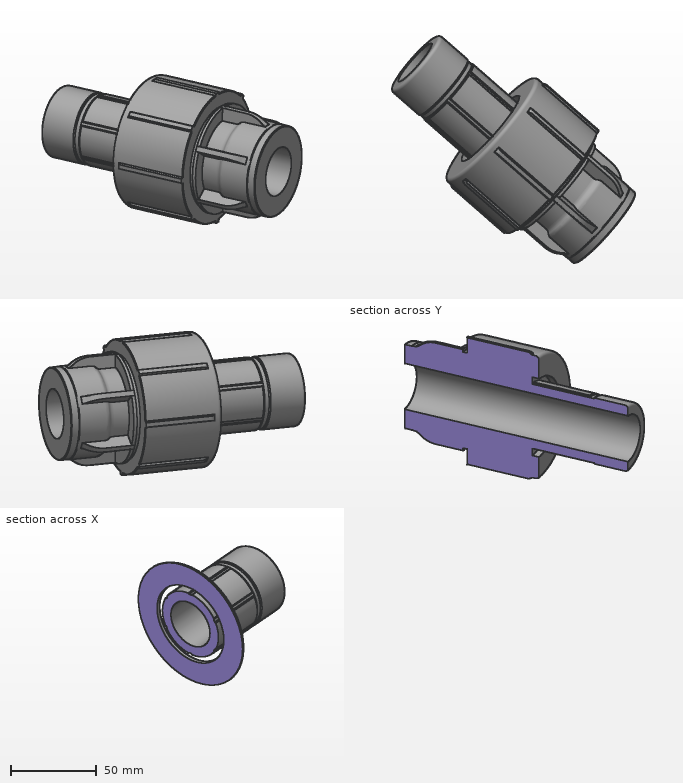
import cadquery as cq
import math

total_length = 148.0
bore_diameter = 29.3

spigot_diameter = 42.9
spigot_groove_diameter = 41.9
spigot_tip_fillet = 2.0
spigot_groove_start = 21.9
spigot_groove_end = 26.3
spigot_groove_slope = 0.9

channel_count = 6
channel_floor_width = 1.8
channel_mouth_width = 3.1

nut_start = 58.9
nut_end = 106.7
nut_diameter = 79.5
nut_front_fillet = 2.2
nut_rear_chamfer = 0.5
nut_opening_diameter = 50.3
nut_opening_depth = 4.5

grip_count = 8
grip_start = 62.9
grip_outer_radius = 41.0
grip_top_width = 2.7
grip_base_width = 3.8
grip_nose_radius = 3.5

shoulder_diameter = 62.3
flange_start = 109.2
flange_thickness = 2.0
flange_diameter = 65.5
neck_diameter = 50.3
socket_diameter = 54.8
socket_rim_diameter = 54.5
swell_start = 120.8
swell_length = 5.3
socket_step_start = 142.7
socket_step_length = 0.5
socket_rim_chamfer = 0.5

fin_count = 6
fin_top_width = 3.3
fin_base_width = 4.9
fin_curve_start = 127.3
fin_curve_end = 138.1
fin_curve_radius = 16.3
fin_tip = 140.3

root_overlap = 3.0


def cylinder(start, end, diameter):
    """Solid cylinder on the X axis."""
    return cq.Workplane("YZ").workplane(offset=start).circle(diameter / 2).extrude(end - start)


def ring_around(rib, count):
    """Copies of one rib evenly spaced about the X axis, the first pointing to +Z."""
    ring = rib
    for index in range(1, count):
        ring = ring.union(rib.rotate((0, 0, 0), (1, 0, 0), 360.0 * index / count))
    return ring


def tapered_bar(start, end, base_radius, top_radius, base_width, top_width):
    """Bar along X with a trapezoid section that narrows from base_radius to top_radius."""
    root_radius = base_radius - root_overlap
    section = [
        (-base_width / 2, root_radius),
        (base_width / 2, root_radius),
        (base_width / 2, base_radius),
        (top_width / 2, top_radius),
        (-top_width / 2, top_radius),
        (-base_width / 2, base_radius),
    ]
    return cq.Workplane("YZ").workplane(offset=start).polyline(section).close().extrude(end - start)


def make_spigot():
    outer = spigot_diameter / 2
    floor = spigot_groove_diameter / 2
    body = (
        cq.Workplane("XY")
        .moveTo(0, 0)
        .lineTo(0, outer)
        .lineTo(spigot_groove_start, outer)
        .lineTo(spigot_groove_start + spigot_groove_slope, floor)
        .lineTo(spigot_groove_end - spigot_groove_slope, floor)
        .lineTo(spigot_groove_end, outer)
        .lineTo(nut_end, outer)
        .lineTo(nut_end, 0)
        .close()
        .revolve(360, (0, 0, 0), (1, 0, 0))
    )
    body = body.faces("<X").edges().fillet(spigot_tip_fillet)
    channel_start = spigot_groove_end - spigot_groove_slope
    channel_end = nut_start + nut_opening_depth
    widening = (channel_mouth_width - channel_floor_width) / 2
    section = [
        (-channel_floor_width / 2, floor),
        (channel_floor_width / 2, floor),
        (channel_mouth_width / 2, outer),
        (channel_mouth_width / 2, outer + widening),
        (-channel_mouth_width / 2, outer + widening),
        (-channel_mouth_width / 2, outer),
    ]
    channel = (
        cq.Workplane("YZ")
        .workplane(offset=channel_start)
        .polyline(section)
        .close()
        .extrude(channel_end - channel_start)
    )
    return body.cut(ring_around(channel, channel_count))


def make_nut():
    body = cylinder(nut_start, nut_end, nut_diameter)
    body = body.faces("<X").edges().fillet(nut_front_fillet)
    body = body.faces(">X").edges().chamfer(nut_rear_chamfer)
    body = body.cut(cylinder(nut_start, nut_start + nut_opening_depth, nut_opening_diameter))
    grip = tapered_bar(
        grip_start, nut_end, nut_diameter / 2, grip_outer_radius, grip_base_width, grip_top_width
    )
    grip = grip.faces("<X").edges(">Z").fillet(grip_nose_radius)
    return body.union(ring_around(grip, grip_count))


def make_socket():
    neck = neck_diameter / 2
    outer = socket_diameter / 2
    rim = socket_rim_diameter / 2
    swell_middle = swell_start + swell_length / 2
    swell_end = swell_start + swell_length
    half_run = swell_length / 2
    half_rise = (outer - neck) / 2
    swell_radius = (half_run**2 + half_rise**2) / (2 * half_rise)
    body = (
        cq.Workplane("XY")
        .moveTo(flange_start, 0)
        .lineTo(flange_start, neck)
        .lineTo(swell_start, neck)
        .radiusArc((swell_middle, neck + half_rise), -swell_radius)
        .radiusArc((swell_end, outer), swell_radius)
        .lineTo(socket_step_start, outer)
        .lineTo(socket_step_start + socket_step_length, rim)
        .lineTo(total_length - socket_rim_chamfer, rim)
        .lineTo(total_length, rim - socket_rim_chamfer)
        .lineTo(total_length, 0)
        .close()
        .revolve(360, (0, 0, 0), (1, 0, 0))
    )
    shoulder = cylinder(nut_end, flange_start, shoulder_diameter)
    flange = cylinder(flange_start, flange_start + flange_thickness, flange_diameter)
    return body.union(shoulder).union(flange)


def make_fins():
    top = flange_diameter / 2
    base = neck_diameter / 2
    run = fin_curve_end - fin_curve_start
    drop = fin_curve_radius - math.sqrt(fin_curve_radius**2 - run**2)
    root = base - root_overlap
    side_profile = (
        cq.Workplane("XZ")
        .moveTo(flange_start, root)
        .lineTo(flange_start, top)
        .lineTo(fin_curve_start, top)
        .radiusArc((fin_curve_end, top - drop), fin_curve_radius)
        .lineTo(fin_tip, socket_diameter / 2)
        .lineTo(fin_tip, root)
        .close()
        .extrude(fin_base_width, both=True)
    )
    bar = tapered_bar(flange_start, fin_tip, base, top, fin_base_width, fin_top_width)
    return ring_around(bar.intersect(side_profile), fin_count)


outside = make_spigot().union(make_nut()).union(make_socket()).union(make_fins())
result = outside.cut(cylinder(0, total_length, bore_diameter))